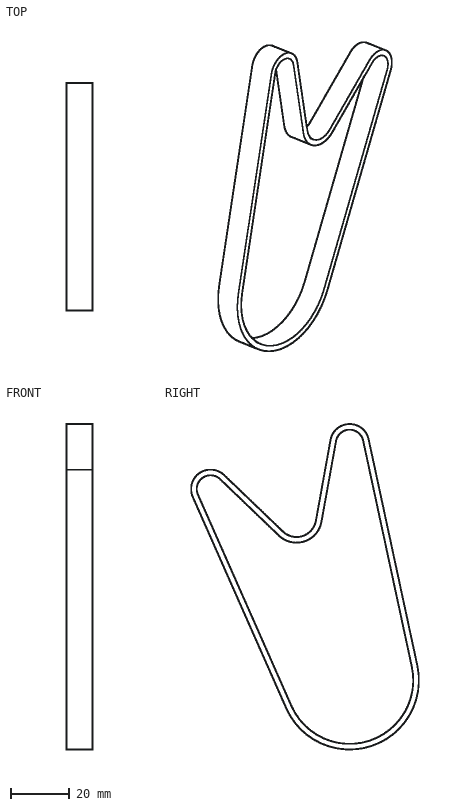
import cadquery as cq
import math

overall_height = 111.5
overall_depth = 78.1
belt_width = 9.0
belt_thickness = 2.0
drive_radius = 23.8
pulley_radius = 6.7
idler_radius = 6.7
top_height = overall_height - drive_radius - pulley_radius
side_offset = overall_depth - drive_radius - pulley_radius
side_height = 65.5
idler_offset = 18.2
idler_height = 55.8

wheels = [
    (0, top_height, pulley_radius),
    (-idler_offset, idler_height, -idler_radius),
    (-side_offset, side_height, pulley_radius),
    (0, 0, drive_radius),
]


def tangent_normal_angle(start, end):
    """Angle of the outward normal of the straight run between two wheels."""
    dy = end[0] - start[0]
    dz = end[1] - start[1]
    return math.atan2(dz, dy) - math.acos((start[2] - end[2]) / math.hypot(dy, dz))


def rim_point(wheel, radius, angle):
    return (wheel[0] + radius * math.cos(angle), wheel[1] + radius * math.sin(angle))


def belt_loop(inset):
    """Solid bounded by the belt face lying inset inside the outer face."""
    count = len(wheels)
    normals = [tangent_normal_angle(wheels[i], wheels[(i + 1) % count]) for i in range(count)]
    arcs = []
    for i, wheel in enumerate(wheels):
        radius = wheel[2] - inset
        arrival = normals[i - 1]
        wrap = math.remainder(normals[i] - arrival, 2 * math.pi)
        arcs.append([rim_point(wheel, radius, arrival + wrap * part) for part in (0, 0.5, 1)])

    outline = cq.Workplane("YZ").moveTo(*arcs[0][0])
    for i, (start, middle, end) in enumerate(arcs):
        if i > 0:
            outline = outline.lineTo(*start)
        outline = outline.threePointArc(middle, end)
    return outline.close().extrude(belt_width / 2, both=True)


result = belt_loop(0).cut(belt_loop(belt_thickness))